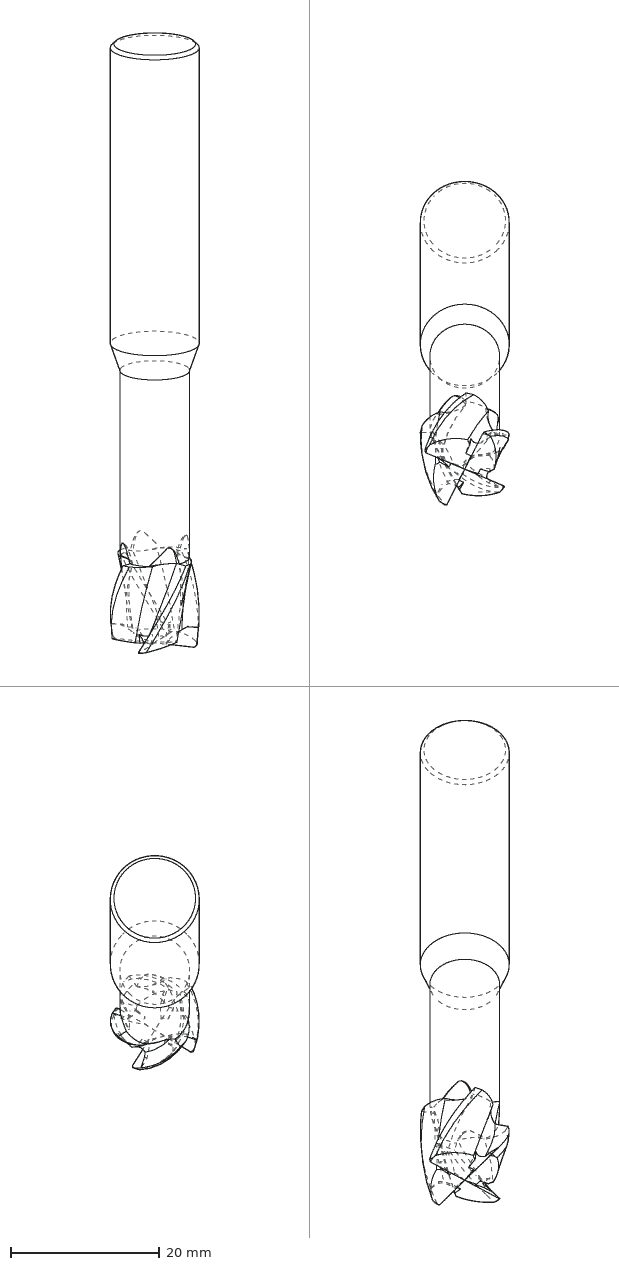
import cadquery as cq
import math

total_length = 84.0
shank_radius = 6.01
neck_radius = 4.7
cutter_length = 12.0
cone_bottom = 38.2
cone_top = 42.0
shank_chamfer = 0.5

tooth_count = 4
tooth_spacing = 360.0 / tooth_count
helix_twist = 67.0
land_angle = 10.0
land_end_radius = 5.9
bottom_heel_radius = 3.95
top_heel_radius = 4.6
bottom_flute_angle = 22.0
top_flute_angle = 48.0
bottom_relief_radius = 4.5
top_relief_radius = 5.3
bottom_rake_root_radius = 3.6
top_rake_root_radius = 4.2
bottom_core_radius = 3.4
top_core_radius = 3.6
section_count = 5

runout_length = 2.5
runout_flute_angle = 54.0
runout_lag = 21.0
runout_tip_angle = 4.0
runout_section_count = 5

end_relief_rise = 1.35
gash_width = 0.75
gash_height = 2.4
gash_inner_radius = 1.7
gash_floor_run = 0.6
gash_bend_run = 0.35
gash_bend_rise = 0.7
corner_chamfer = 0.25


def polar(radius, angle):
    """Point at a radius and an angle in degrees about the tool axis."""
    turn = math.radians(angle)
    return (radius * math.cos(turn), radius * math.sin(turn))


def between(start, end, fraction):
    return start + (end - start) * fraction


def cutter_section(fraction):
    """Toothed cross-section at a fraction of the cutter length."""
    twist = helix_twist * fraction
    flute_angle = between(bottom_flute_angle, top_flute_angle, fraction)
    core_radius = between(bottom_core_radius, top_core_radius, fraction)
    heel_radius = between(bottom_heel_radius, top_heel_radius, fraction)
    rake_root_radius = between(bottom_rake_root_radius, top_rake_root_radius, fraction)
    heel_angle = tooth_spacing - flute_angle
    relief_angle = (land_angle + heel_angle) / 2
    relief_radius = between(bottom_relief_radius, top_relief_radius, fraction)

    outline = cq.Workplane("XY", origin=(0, 0, cutter_length * fraction))
    outline = outline.moveTo(*polar(shank_radius, twist))
    for tooth in range(tooth_count):
        edge = twist + tooth * tooth_spacing
        outline = (
            outline.lineTo(*polar(land_end_radius, edge + land_angle))
            .threePointArc(
                polar(relief_radius, edge + relief_angle),
                polar(heel_radius, edge + heel_angle),
            )
            .threePointArc(
                polar(core_radius, edge + tooth_spacing - flute_angle / 2),
                polar(rake_root_radius, edge + tooth_spacing),
            )
            .lineTo(*polar(shank_radius, edge + tooth_spacing))
        )
    return outline.close().val()


def end_relief():
    """Wedge that slopes the end face up behind one cutting edge."""
    return (
        cq.Workplane("YZ")
        .polyline([(0, 0), (shank_radius, 0), (shank_radius, end_relief_rise)])
        .close()
        .extrude(shank_radius)
    )


def gash():
    """Notch ahead of one cutting edge, with a rounded floor and a wall along the helix."""
    helix_lean = math.radians(helix_twist) * shank_radius * gash_height / cutter_length
    radial_run = shank_radius - gash_inner_radius
    slot = (
        cq.Workplane("YZ")
        .polyline([(-gash_width, 0), (0, 0), (helix_lean, gash_height), (-gash_width, gash_height)])
        .close()
        .extrude(shank_radius)
    )
    floor = (
        cq.Workplane("XZ", origin=(0, -gash_width, 0))
        .moveTo(gash_inner_radius, 0)
        .threePointArc(
            (gash_inner_radius + gash_bend_run * radial_run, gash_bend_rise * gash_height),
            (gash_inner_radius + gash_floor_run * radial_run, gash_height),
        )
        .lineTo(shank_radius, gash_height)
        .lineTo(shank_radius, 0)
        .close()
        .extrude(-gash_width - helix_lean)
    )
    return slot.intersect(floor)


def make_cutter():
    sections = [cutter_section(i / (section_count - 1)) for i in range(section_count)]
    cutter = cq.Workplane(cq.Solid.makeLoft(sections))
    for tooth in range(tooth_count):
        turn = tooth * tooth_spacing
        cutter = cutter.cut(end_relief().rotate((0, 0, 0), (0, 0, 1), turn))
        cutter = cutter.cut(gash().rotate((0, 0, 0), (0, 0, 1), turn))
    envelope = cq.Workplane("XY").circle(shank_radius).extrude(cutter_length)
    return cutter.intersect(envelope.faces("<Z").chamfer(corner_chamfer))


def runout_section(fraction):
    """Flute cross-section at a fraction of the runout, open outwards past the neck surface."""
    tip_angle = helix_twist - runout_lag
    width = math.sqrt(1 - fraction)
    heel_angle = between(tip_angle - runout_tip_angle / 2, helix_twist - runout_flute_angle, 1 - fraction)
    edge_angle = between(tip_angle + runout_tip_angle / 2, helix_twist, width)
    heel_radius = between(neck_radius, top_heel_radius, width)
    floor_radius = between(neck_radius, top_core_radius, width)
    root_radius = between(neck_radius, top_rake_root_radius, width)
    return (
        cq.Workplane("XY", origin=(0, 0, cutter_length + runout_length * fraction))
        .moveTo(*polar(heel_radius, heel_angle))
        .threePointArc(
            polar(floor_radius, (heel_angle + edge_angle) / 2),
            polar(root_radius, edge_angle),
        )
        .lineTo(*polar(shank_radius, edge_angle))
        .lineTo(*polar(shank_radius, heel_angle))
        .close()
        .val()
    )


def flute_runout():
    """End of one flute, fading out at the neck surface."""
    last = runout_section_count - 1
    return cq.Solid.makeLoft([runout_section(i / last) for i in range(runout_section_count)])


def make_shank():
    shank = (
        cq.Workplane("XZ")
        .polyline(
            [
                (0, cutter_length),
                (neck_radius, cutter_length),
                (neck_radius, cone_bottom),
                (shank_radius, cone_top),
                (shank_radius, total_length - shank_chamfer),
                (shank_radius - shank_chamfer, total_length),
                (0, total_length),
            ]
        )
        .close()
        .revolve(360, (0, 0, 0), (0, 1, 0))
    )
    runout = cq.Workplane(flute_runout())
    for flute in range(tooth_count):
        shank = shank.cut(runout.rotate((0, 0, 0), (0, 0, 1), flute * tooth_spacing))
    return shank


cutter = make_cutter()
shank = make_shank()
result = cq.Compound.makeCompound([cutter.val(), shank.val()])